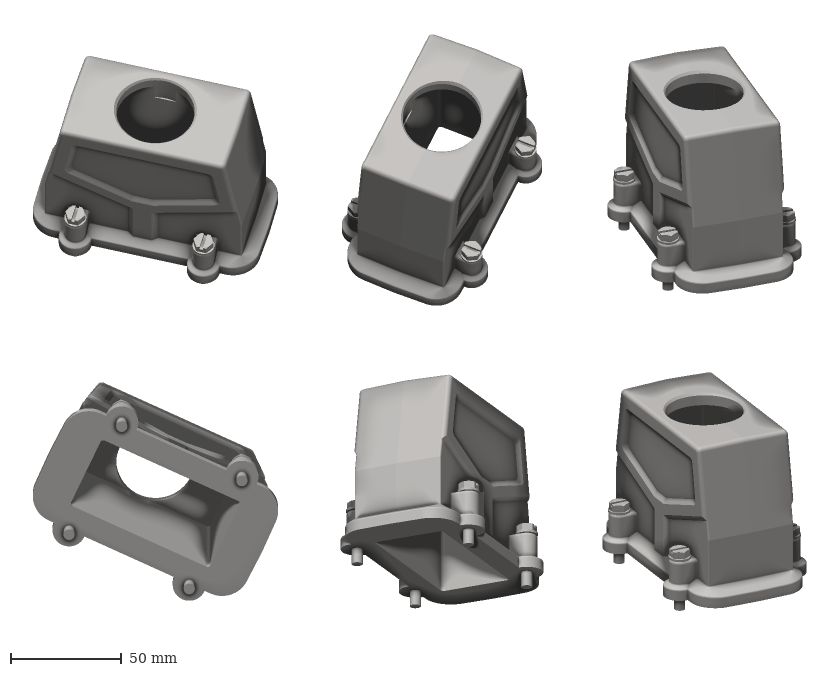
import cadquery as cq
import math

DRAFT = 1.5

HOOD_HEIGHT = 74.5
HOOD_HALF_X = 46.75
ROOF_HALF_X = 39.0
SHOULDER_Z = 31.4
HOOD_HALF_Y = 23.2
HOOD_FILLET = 2.0
ROOF_END_FILLET = 2.2
RELIEF_FILLET = 0.9

RELIEF_DEPTH = 1.55
BEVEL_WIDTH = 2.5
STEM_HALF_X = 4.35
STEM_BEVEL = 2.7
ARM_Z_INNER = 28.4
ARM_Z_OUTER = 43.6
ARM_BEVEL_Z = 2.35
PANEL_TOP_Z = 66.9
PANEL_TOP_HALF_X = 32.9
PANEL_SHOULDER_Z = 45.4
PANEL_SHOULDER_HALF_X = 36.6
PANEL_BOTTOM_Z = 33.9
PANEL_BOTTOM_HALF_X = 4.9
PANEL_CORNER_RADIUS = 2.5

ENTRY_DIAMETER = 35.5
ENTRY_CHAMFER = 1.2
ENTRY_FLOOR_Z = 60.5
CAVITY_HALF_X = 34.8
CAVITY_HALF_Y = 17.0
CAVITY_TOP_Z = 68.5
CAVITY_CORNER_RADIUS = 1.5

FLANGE_HALF_X = 53.25
FLANGE_HALF_Y = 27.65
FLANGE_CORNER_RADIUS = 12.5
RIM_HEIGHT = 5.2
SLOPE_TOP_Z = 8.6
RIM_FILLET = 0.8
FOOT_FILLET = 0.5

SCREW_X = 30.0
SCREW_Y = 28.0
LUG_RADIUS = 7.5
POST_RADIUS = 4.85
POST_TOP_Z = 18.0
POST_EDGE_FILLET = 1.5
POST_BLEND = 1.0
POST_FOOT_FILLET = 0.6

PIN_DIAMETER = 5.0
PIN_LENGTH = 7.0
WASHER_DIAMETER = 10.0
WASHER_TOP_Z = 19.1
HEAD_TOP_Z = 22.5
HEAD_FLATS = 8.1
HEAD_CHAMFER = 0.6
SLOT_WIDTH = 1.6
SLOT_DEPTH = 1.4

RELIEF_Y = HOOD_HALF_Y - RELIEF_DEPTH
LUG_SLOPE = (SLOPE_TOP_Z - RIM_HEIGHT) / (FLANGE_HALF_Y - RELIEF_Y)
LUG_TOP_Z = RIM_HEIGHT + (LUG_RADIUS - POST_RADIUS) * LUG_SLOPE
REACH = 200.0
FLAT = 0.02
MARGIN = 5.0


def both_sides(solid):
    """The solid together with its mirror image behind the parting plane."""
    return solid.union(solid.mirror("XZ"))


def above(z):
    """Selector of everything centred above a height."""
    return cq.selectors.BoxSelector((-REACH, -REACH, z), (REACH, REACH, REACH))


def level_edges(solid, z):
    """The edges lying wholly at one height."""
    return solid.edges(cq.selectors.BoxSelector((-REACH, -REACH, z - FLAT), (REACH, REACH, z + FLAT), True))


def hood_body(half_y, edge_fillet):
    """Solid hood of a given half depth, drafted from the parting plane and rounded at its edges."""
    outline = [
        (-HOOD_HALF_X, -MARGIN),
        (HOOD_HALF_X, -MARGIN),
        (HOOD_HALF_X, SHOULDER_Z),
        (ROOF_HALF_X, HOOD_HEIGHT),
        (-ROOF_HALF_X, HOOD_HEIGHT),
        (-HOOD_HALF_X, SHOULDER_Z),
    ]
    front = cq.Workplane("XZ").polyline(outline).close().extrude(half_y, taper=DRAFT)
    below = cq.Workplane("XY").box(4 * HOOD_HALF_X, 4 * half_y, 4 * MARGIN)
    front = front.cut(below.translate((0, 0, -2 * MARGIN)))
    front = front.edges(above(HOOD_HEIGHT - HOOD_FILLET)).edges("not(|X)").fillet(ROOF_END_FILLET)
    front = front.faces("<Y").edges("not(<Z)").fillet(edge_fillet)
    return both_sides(front)


def lower_relief():
    """Cutter for the sunk area beside the stem and below one arm (+X, -Y)."""
    end_x = HOOD_HALF_X + MARGIN
    arm_slope = (ARM_Z_OUTER - ARM_Z_INNER) / (HOOD_HALF_X - STEM_HALF_X)

    def outline(stem_x, drop):
        def arm_z(x):
            return ARM_Z_INNER - drop + arm_slope * (x - STEM_HALF_X)
        return [(stem_x, -MARGIN), (end_x, -MARGIN), (end_x, arm_z(end_x)), (stem_x, arm_z(stem_x))]

    floor = outline(STEM_HALF_X + STEM_BEVEL, ARM_BEVEL_Z)
    bevelled = (
        cq.Workplane("XZ", origin=(0, -RELIEF_Y, 0))
        .polyline(floor).close()
        .workplane(offset=RELIEF_DEPTH)
        .polyline(outline(STEM_HALF_X, 0)).close()
        .loft(ruled=True)
    )
    straight = cq.Workplane("XZ", origin=(0, -RELIEF_Y, 0)).polyline(floor).close().extrude(-RELIEF_Y / 2)
    return bevelled.union(straight)


def panel_cutter():
    """Cutter for the bevelled six-sided panel in the -Y side."""
    right = [
        (PANEL_BOTTOM_HALF_X, PANEL_BOTTOM_Z),
        (PANEL_SHOULDER_HALF_X, PANEL_SHOULDER_Z),
        (PANEL_TOP_HALF_X, PANEL_TOP_Z),
    ]
    left = [(-x, z) for x, z in reversed(right)]
    mouth = cq.Workplane("XY").polyline(right + left).close()
    floor = mouth.offset2D(-BEVEL_WIDTH)

    def rounded(outline):
        corners = cq.Sketch().face(outline.val()).vertices(cq.selectors.BoxSelector(
            (-REACH, PANEL_BOTTOM_Z + BEVEL_WIDTH + PANEL_CORNER_RADIUS, -REACH), (REACH, REACH, REACH)
        ))
        return corners.fillet(PANEL_CORNER_RADIUS)

    return (
        cq.Workplane("XZ", origin=(0, -HOOD_HALF_Y, 0))
        .placeSketch(
            rounded(mouth),
            rounded(floor).moved(cq.Location(cq.Vector(0, 0, -RELIEF_DEPTH))),
        )
        .loft(ruled=True)
    )


def hood():
    """Hood with a raised band on a thinner core and a sunk panel within the band."""
    right = lower_relief()
    reliefs = both_sides(right.union(right.mirror("YZ")))
    band = hood_body(HOOD_HALF_Y, HOOD_FILLET).cut(reliefs)
    core = hood_body(RELIEF_Y, RELIEF_FILLET)
    return core.union(band).cut(both_sides(panel_cutter()))


def rounded_outline(half_x, half_y, radius):
    """Rounded rectangle whose ends are drafted to a shallow point at Y = 0."""
    corner_x = half_x - half_y * math.tan(math.radians(DRAFT))
    points = [
        (half_x, 0), (corner_x, half_y), (-corner_x, half_y),
        (-half_x, 0), (-corner_x, -half_y), (corner_x, -half_y), (half_x, 0),
    ]
    return cq.Sketch().polygon(points).vertices(">Y or <Y").fillet(radius)


def at_screws(solid):
    """Copies of a solid built at the (+X, -Y) screw, one for each screw."""
    pair = solid.union(solid.mirror("YZ"))
    return both_sides(pair)


def flange():
    """Flange rim with sloping top and the four round lugs."""
    foot = rounded_outline(FLANGE_HALF_X, FLANGE_HALF_Y, FLANGE_CORNER_RADIUS)
    top = rounded_outline(HOOD_HALF_X, RELIEF_Y, RELIEF_FILLET)
    plate = cq.Workplane("XY").placeSketch(foot).extrude(RIM_HEIGHT)
    slope = (
        cq.Workplane("XY")
        .placeSketch(
            foot.moved(cq.Location(cq.Vector(0, 0, RIM_HEIGHT))),
            top.moved(cq.Location(cq.Vector(0, 0, SLOPE_TOP_Z))),
        )
        .loft(ruled=True)
    )
    lug_profile = [(0, 0), (LUG_RADIUS, 0), (LUG_RADIUS, RIM_HEIGHT), (POST_RADIUS, LUG_TOP_Z), (0, LUG_TOP_Z)]
    lug = cq.Workplane("XZ").polyline(lug_profile).close().revolve(360, (0, 0), (0, 1))
    lugs = at_screws(lug.translate((SCREW_X, -SCREW_Y, 0)))
    return level_edges(plate.union(slope).union(lugs), RIM_HEIGHT).fillet(RIM_FILLET)


def posts():
    """Upright posts on the lugs, joined to the hood walls and blended into them."""
    wall_y = RELIEF_Y - HOOD_FILLET
    flare_y = -RELIEF_Y - POST_BLEND
    flare_x = POST_RADIUS + POST_BLEND
    outline = (
        cq.Workplane("XY")
        .moveTo(-flare_x, -wall_y)
        .lineTo(-flare_x, -RELIEF_Y)
        .radiusArc((-POST_RADIUS, flare_y), POST_BLEND)
        .lineTo(-POST_RADIUS, -SCREW_Y)
        .threePointArc((0, -SCREW_Y - POST_RADIUS), (POST_RADIUS, -SCREW_Y))
        .lineTo(POST_RADIUS, flare_y)
        .radiusArc((flare_x, -RELIEF_Y), POST_BLEND)
        .lineTo(flare_x, -wall_y)
        .close()
    )
    post = outline.extrude(POST_TOP_Z)
    post = post.faces(">Z").edges("not(>Y)").edges("not(|Y and (>X or <X))").fillet(POST_EDGE_FILLET)
    return at_screws(post.translate((SCREW_X, 0, 0)))


def screws():
    """Slotted hexagon screws standing in the posts."""
    pin = cq.Workplane("XY").workplane(offset=-PIN_LENGTH).circle(PIN_DIAMETER / 2)
    pin = pin.extrude(PIN_LENGTH + RIM_HEIGHT)
    washer = cq.Workplane("XY").workplane(offset=POST_TOP_Z).circle(WASHER_DIAMETER / 2)
    washer = washer.extrude(WASHER_TOP_Z - POST_TOP_Z)
    corner_diameter = HEAD_FLATS / math.cos(math.radians(30))
    head = cq.Workplane("XY").workplane(offset=WASHER_TOP_Z).polygon(6, corner_diameter)
    head = head.extrude(HEAD_TOP_Z - WASHER_TOP_Z)
    rounding = cq.Workplane("XY").workplane(offset=WASHER_TOP_Z - HEAD_CHAMFER).circle(corner_diameter / 2)
    rounding = rounding.extrude(HEAD_TOP_Z - WASHER_TOP_Z + HEAD_CHAMFER)
    rounding = rounding.faces(">Z").chamfer(HEAD_CHAMFER / 2, HEAD_CHAMFER)
    slot = cq.Workplane("XY").box(SLOT_WIDTH, 2 * corner_diameter, 2 * SLOT_DEPTH)
    head = head.intersect(rounding).cut(slot.translate((0, 0, HEAD_TOP_Z)))
    screw = pin.union(washer).union(head)
    return at_screws(screw.translate((SCREW_X, -SCREW_Y, 0)))


def cavity():
    """Hollow of the hood, open at the bottom, with the cable entry through the roof."""
    hollow = cq.Workplane("XY").rect(2 * CAVITY_HALF_X, 2 * CAVITY_HALF_Y).extrude(CAVITY_TOP_Z)
    hollow = hollow.edges("|Z").fillet(CAVITY_CORNER_RADIUS)
    radius = ENTRY_DIAMETER / 2
    entry = [
        (0, ENTRY_FLOOR_Z),
        (radius, ENTRY_FLOOR_Z),
        (radius, HOOD_HEIGHT - ENTRY_CHAMFER),
        (radius + ENTRY_CHAMFER, HOOD_HEIGHT),
        (0, HOOD_HEIGHT),
    ]
    bore = cq.Workplane("XZ").polyline(entry).close().revolve(360, (0, 0), (0, 1))
    return hollow.union(bore)


def rounded_casting():
    """Hood, flange and posts as one body, with blends where they meet."""
    shell = hood().union(flange())
    low, high = SLOPE_TOP_Z - RELIEF_DEPTH * LUG_SLOPE, SLOPE_TOP_Z
    foot_edges = [
        edge for edge in shell.edges().vals()
        if low - FLAT < edge.BoundingBox().zmin and edge.BoundingBox().zmax < high + FLAT
    ]
    shell = shell.newObject(foot_edges).fillet(FOOT_FILLET)
    shell = shell.union(posts())
    return level_edges(shell, LUG_TOP_Z).edges("%CIRCLE").fillet(POST_FOOT_FILLET)


result = rounded_casting().cut(cavity()).union(screws())